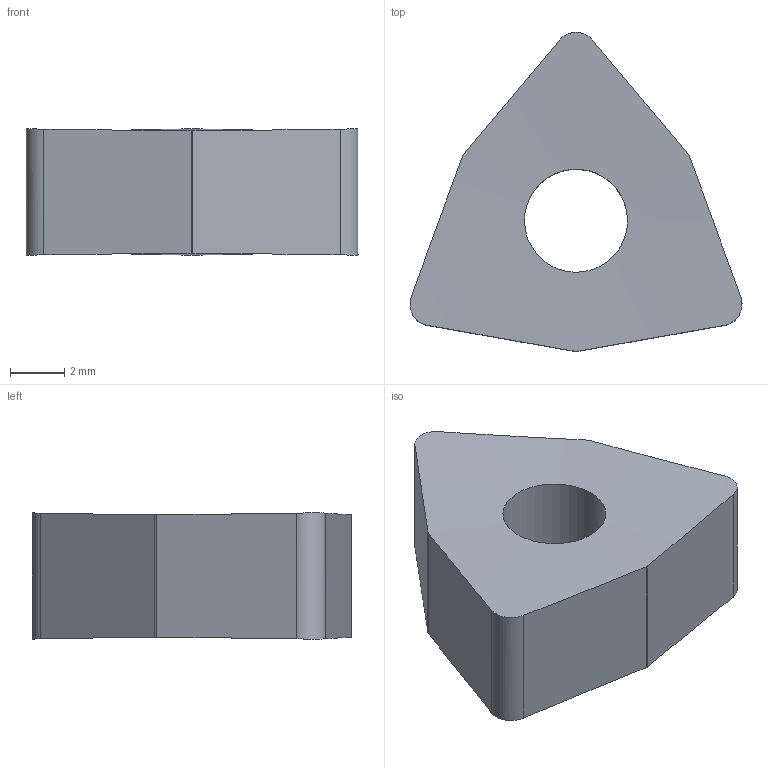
import cadquery as cq
import math

inscribed_diameter = 9.525
corner_angle = 80.0
corner_radius = 0.8
blunt_vertex_rounding = 0.2
thickness_at_tips = 4.664
hole_diameter = 3.81
first_corner_direction = 90.0
corner_count = 3
dish_radius = 265.0

inscribed_radius = inscribed_diameter / 2
half_corner_angle = corner_angle / 2
half_thickness = thickness_at_tips / 2
corner_spacing = 360.0 / corner_count
corner_directions = [first_corner_direction + i * corner_spacing for i in range(corner_count)]
normal_offset = 90.0 - half_corner_angle
corner_centre_radius = (inscribed_radius - corner_radius) / math.sin(math.radians(half_corner_angle))
tip_radius = corner_centre_radius + corner_radius
vertex_half_turn = corner_spacing / 2 - normal_offset
vertex_centre_radius = (inscribed_radius - blunt_vertex_rounding) / math.cos(math.radians(vertex_half_turn))


def polar(radius, angle):
    """Point at a radius and an angle in degrees from the origin."""
    return (radius * math.cos(math.radians(angle)), radius * math.sin(math.radians(angle)))


def offset_point(centre, radius, angle):
    """Point at a radius and an angle in degrees from a given centre."""
    offset_x, offset_y = polar(radius, angle)
    return (centre[0] + offset_x, centre[1] + offset_y)


def add_rounding(outline, centre_distance, direction, radius, half_turn):
    """Run the outline straight to a rounding and then around it."""
    centre = polar(centre_distance, direction)
    arc_start = offset_point(centre, radius, direction - half_turn)
    arc_middle = offset_point(centre, radius, direction)
    arc_end = offset_point(centre, radius, direction + half_turn)
    return outline.lineTo(*arc_start).threePointArc(arc_middle, arc_end)


def trigon_prism():
    """Six-sided prism with three cutting corners and three blunt vertices."""
    start_direction = first_corner_direction - normal_offset
    outline = cq.Workplane("XY", origin=(0, 0, -half_thickness))
    outline = outline.moveTo(*polar(inscribed_radius, start_direction))
    for direction in corner_directions:
        outline = add_rounding(outline, corner_centre_radius, direction, corner_radius, normal_offset)
        vertex_direction = direction + corner_spacing / 2
        outline = add_rounding(
            outline, vertex_centre_radius, vertex_direction, blunt_vertex_rounding, vertex_half_turn
        )
    return outline.close().extrude(thickness_at_tips)


def dish_cutter():
    """Spherical-bottomed body that hollows the top face and meets it at the corner tips."""
    depth = dish_radius - math.sqrt(dish_radius**2 - tip_radius**2)
    return (
        cq.Workplane("XZ")
        .moveTo(0, half_thickness - depth)
        .radiusArc((tip_radius, half_thickness), -dish_radius)
        .lineTo(0, half_thickness)
        .close()
        .revolve(360, (0, 0, 0), (0, 1, 0))
    )


def centre_hole():
    """Through hole for the clamping pin."""
    hole = cq.Workplane("XY", origin=(0, 0, -half_thickness))
    return hole.circle(hole_diameter / 2).extrude(thickness_at_tips)


top_dish = dish_cutter()
bottom_dish = top_dish.mirror("XY")
result = trigon_prism().cut(top_dish).cut(bottom_dish).cut(centre_hole())